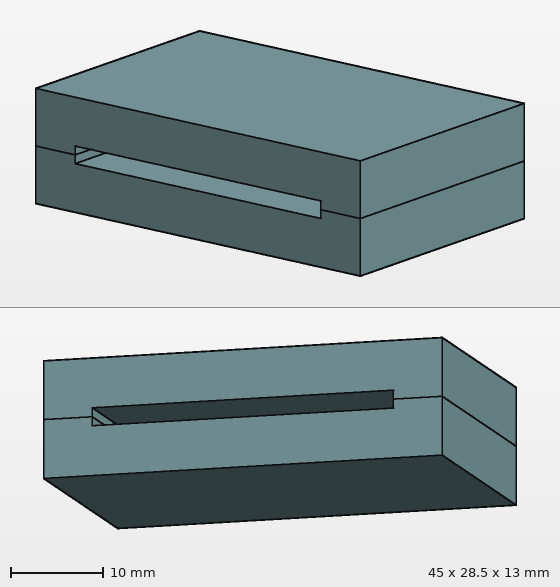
import cadquery as cq

LENGTH = 45.0
DEPTH = 28.5
HEIGHT = 13.0
HALF_HEIGHT = HEIGHT / 2

SLOT_WIDTH = 34.0
SLOT_HEIGHT = 2.0
SLOT_DEPTH_PER_HALF = SLOT_HEIGHT / 2


def make_lower_half():
    """Block below the joint (Z = 0), with a channel along Y in its upper face."""
    block = cq.Workplane("XY").box(LENGTH, DEPTH, HALF_HEIGHT).translate((0, 0, -HALF_HEIGHT / 2))
    channel = (
        cq.Workplane("XY")
        .box(SLOT_WIDTH, DEPTH, SLOT_DEPTH_PER_HALF)
        .translate((0, 0, -SLOT_DEPTH_PER_HALF / 2))
    )
    return block.cut(channel)


def make_upper_half():
    """Mirror image of the lower half, resting on the joint."""
    return make_lower_half().mirror("XY")


lower_half = make_lower_half()
upper_half = make_upper_half()

result = cq.Compound.makeCompound([lower_half.val(), upper_half.val()])